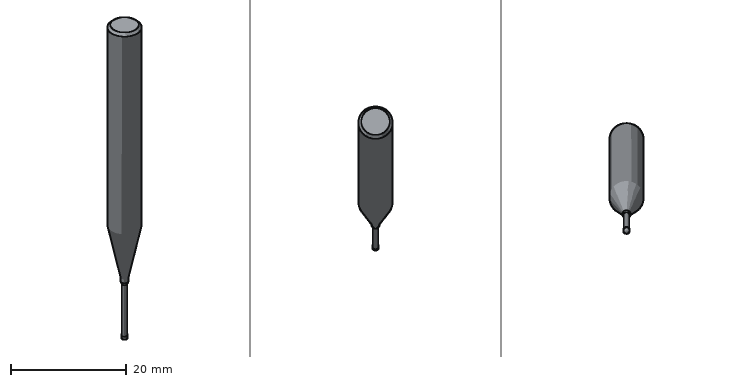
import cadquery as cq
import math

total_length = 65.0
shank_radius = 3.0
end_chamfer = 0.5

taper_top = 23.65
collar_top = 12.9
collar_bottom = 12.1
neck_top = 11.5

collar_radius = 0.7
neck_radius = 0.5

head_radius = 0.6
land_height = 0.29
head_top = head_radius + land_height


def revolve_profile(points):
    """Turn a closed (radius, height) profile around the Z axis."""
    return cq.Workplane("XZ").polyline(points).close().revolve(360, (0, 0, 0), (0, 1, 0))


def make_holder():
    """Shank, long taper, collar and neck, ending flat on the cutting head."""
    return revolve_profile([
        (0, head_top),
        (neck_radius, head_top),
        (neck_radius, neck_top),
        (collar_radius, collar_bottom),
        (collar_radius, collar_top),
        (shank_radius, taper_top),
        (shank_radius, total_length - end_chamfer),
        (shank_radius - end_chamfer, total_length),
        (0, total_length),
    ])


def make_cutting_head():
    """Ball-nosed head, slightly wider than the neck it ends."""
    ball_middle = (head_radius * math.sin(math.pi / 4), head_radius * (1 - math.cos(math.pi / 4)))
    outline = (
        cq.Workplane("XZ")
        .moveTo(0, 0)
        .threePointArc(ball_middle, (head_radius, head_radius))
        .lineTo(head_radius, head_top)
        .lineTo(0, head_top)
        .close()
    )
    return outline.revolve(360, (0, 0, 0), (0, 1, 0))


holder = make_holder()
cutting_head = make_cutting_head()

result = cq.Compound.makeCompound([holder.val(), cutting_head.val()])